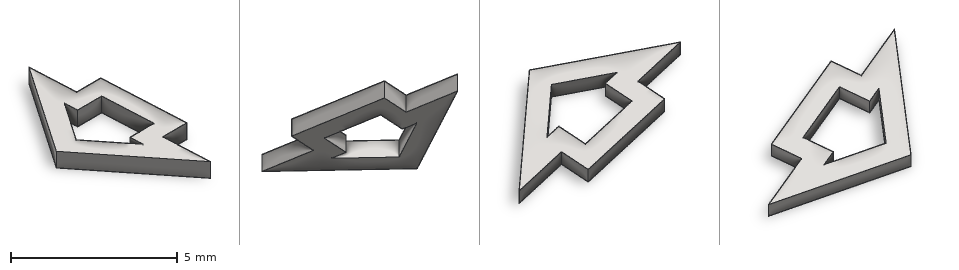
import cadquery as cq
import math

head_width = 7.51
total_length = 3.82
thickness = 0.6

shaft_width = 3.56
shaft_length = 1.05

frame_width = 0.7


def arrow(tip_y, shoulder_y, tail_y, half_shaft, half_head):
    """Solid arrow, symmetric about the YZ plane and standing on Z = 0."""
    outline = [
        (0, tip_y),
        (half_head, shoulder_y),
        (half_shaft, shoulder_y),
        (half_shaft, tail_y),
        (-half_shaft, tail_y),
        (-half_shaft, shoulder_y),
        (-half_head, shoulder_y),
    ]
    return cq.Workplane("XY").polyline(outline).close().extrude(thickness)


head_length = total_length - shaft_length
half_head = head_width / 2
half_shaft = shaft_width / 2
outer = arrow(0, head_length, total_length, half_shaft, half_head)

edge_angle = math.atan2(head_length, half_head)
inner_tip_y = frame_width / math.cos(edge_angle)
inner_shoulder_y = head_length - frame_width
opening = arrow(
    inner_tip_y,
    inner_shoulder_y,
    total_length - frame_width,
    half_shaft - frame_width,
    (inner_shoulder_y - inner_tip_y) / math.tan(edge_angle),
)

result = outer.cut(opening)